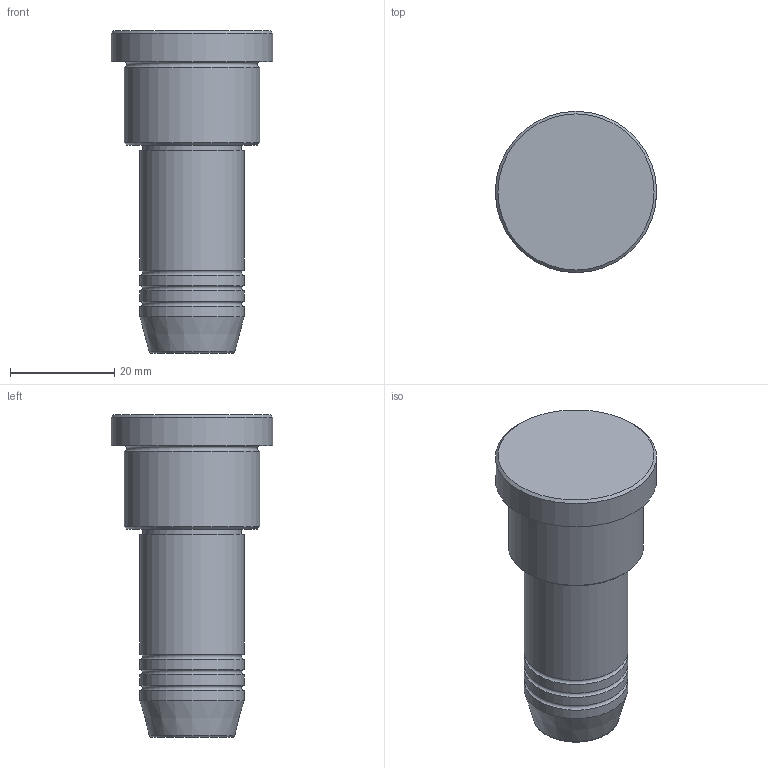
import cadquery as cq
import math

total_height = 62.0
head_radius = 15.5
head_height = 6.0
collar_radius = 13.0
collar_bottom = 40.0
shaft_radius = 10.0

edge_chamfer = 0.5

groove_width = 1.0

relief_height = 1.0
relief_depth = 0.5

ring_groove_count = 3
ring_groove_pitch = 3.0
first_ring_groove_bottom = 9.0

taper_height = 7.0
taper_angle = 15.0
tip_fillet = 0.5

head_bottom = total_height - head_height


def cylinder(radius, bottom, top):
    return cq.Workplane("XY").workplane(offset=bottom).circle(radius).extrude(top - bottom)


def round_groove(surface_radius, center_height):
    """Torus that cuts a half-round ring groove into a cylinder."""
    return (
        cq.Workplane("XZ")
        .center(surface_radius, center_height)
        .circle(groove_width / 2)
        .revolve(360, (-surface_radius, 0), (-surface_radius, 1))
    )


def make_head():
    return cylinder(head_radius, head_bottom, total_height).faces(">Z").chamfer(edge_chamfer)


def make_collar():
    collar = cylinder(collar_radius, collar_bottom, head_bottom).faces("<Z").chamfer(edge_chamfer)
    return collar.cut(round_groove(collar_radius, head_bottom - groove_width / 2))


def make_shaft():
    relief_bottom = collar_bottom - relief_height
    shaft = cylinder(shaft_radius, taper_height, relief_bottom)
    shaft = shaft.union(cylinder(shaft_radius - relief_depth, relief_bottom, collar_bottom))
    for index in range(ring_groove_count):
        groove_bottom = first_ring_groove_bottom + index * ring_groove_pitch
        shaft = shaft.cut(round_groove(shaft_radius, groove_bottom + groove_width / 2))
    return shaft


def make_taper():
    tip_radius = shaft_radius - taper_height * math.tan(math.radians(taper_angle))
    taper = (
        cq.Workplane("XZ")
        .polyline([(0, 0), (tip_radius, 0), (shaft_radius, taper_height), (0, taper_height)])
        .close()
        .revolve(360, (0, 0), (0, 1))
    )
    return taper.faces("<Z").fillet(tip_fillet)


result = make_head().union(make_collar()).union(make_shaft()).union(make_taper())